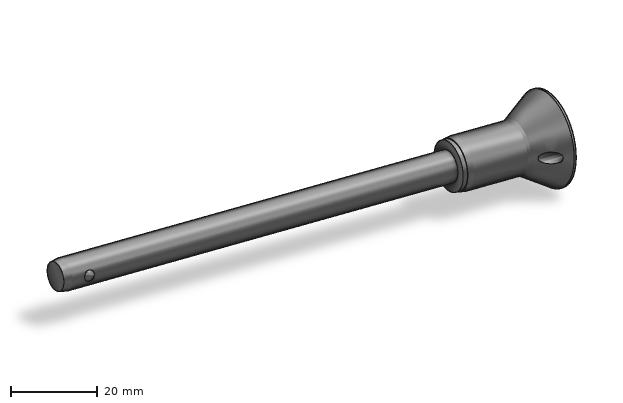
import cadquery as cq

overall_length = 135.7
handle_length = 27.5
shank_length = overall_length - handle_length

head_radius = 12.0
rim_thickness = 0.6
neck_start = 9.1
neck_length = 0.8
sleeve_radius = 6.7
neck_flare = 0.2
collar_radius = 6.45
collar_start = 24.7
collar_taper_length = 1.6
spigot_radius = 6.3

shank_radius = 4.0
tip_taper_length = 2.1
tip_radius = 3.6

ball_radius = 1.5
ball_reach = 4.8
ball_distance_from_tip = 6.8

lanyard_hole_diameter = 3.0
lanyard_hole_offset = 9.2


def revolve_about_y(profile):
    """Turn a closed half profile (radius, Y) about the Y axis."""
    return profile.close().revolve(360, (0, 0, 0), (0, 1, 0))


def make_handle():
    cone_end_y = handle_length - neck_start
    sleeve_start_y = cone_end_y - neck_length
    taper_start_y = handle_length - collar_start
    taper_end_y = taper_start_y - collar_taper_length
    profile = (
        cq.Workplane("XY")
        .moveTo(0, handle_length)
        .lineTo(head_radius, handle_length)
        .lineTo(head_radius, handle_length - rim_thickness)
        .lineTo(sleeve_radius + neck_flare, cone_end_y)
        .lineTo(sleeve_radius, sleeve_start_y)
        .lineTo(sleeve_radius, taper_start_y)
        .lineTo(collar_radius, taper_end_y)
        .lineTo(spigot_radius, taper_end_y)
        .lineTo(spigot_radius, 0)
        .lineTo(0, 0)
    )
    return revolve_about_y(profile)


def make_shank():
    tip_y = -shank_length
    taper_start_y = tip_y + tip_taper_length
    profile = (
        cq.Workplane("XY")
        .moveTo(0, 0)
        .lineTo(shank_radius, 0)
        .lineTo(shank_radius, taper_start_y)
        .lineTo(tip_radius, tip_y)
        .lineTo(0, tip_y)
    )
    return revolve_about_y(profile)


def make_ball(side):
    """Locking ball on the +X (side = 1) or -X (side = -1) flank of the shank."""
    center_x = side * (ball_reach - ball_radius)
    center_y = ball_distance_from_tip - shank_length
    return cq.Workplane("XY").sphere(ball_radius).translate((center_x, center_y, 0))


def make_lanyard_hole():
    return (
        cq.Workplane("XZ", origin=(0, handle_length, 0))
        .center(lanyard_hole_offset, 0)
        .circle(lanyard_hole_diameter / 2)
        .extrude(neck_start)
    )


result = make_handle().cut(make_lanyard_hole()).union(make_shank())
for ball_side in (-1, 1):
    result = result.union(make_ball(ball_side))